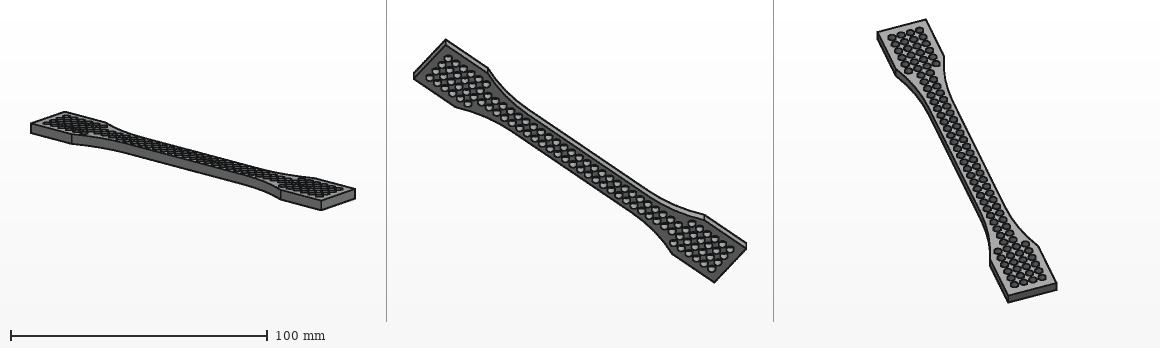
import cadquery as cq
import math

overall_length = 150.0
grip_width = 20.0
gauge_width = 10.0
gauge_length = 60.0
shoulder_radius = 60.0
thickness = 4.0

hole_diameter = 3.0
hole_pitch = 3.8
columns = 38
gauge_rows = 2
grip_rows = 4
grip_columns = 6

half_length = overall_length / 2
half_grip = grip_width / 2
half_gauge = gauge_width / 2
gauge_end = gauge_length / 2
shoulder_center_y = half_gauge + shoulder_radius


def shoulder_x(y):
    """X at which the +X, +Y shoulder arc reaches height y."""
    return gauge_end + math.sqrt(shoulder_radius**2 - (shoulder_center_y - y) ** 2)


grip_start = shoulder_x(half_grip)
shoulder_mid_y = (half_gauge + half_grip) / 2
shoulder_mid_x = shoulder_x(shoulder_mid_y)


def make_blank():
    """Solid dog-bone plate, centred in X and Y with its underside at Z = 0."""
    return (
        cq.Workplane("XY")
        .moveTo(-half_length, -half_grip)
        .lineTo(-grip_start, -half_grip)
        .threePointArc((-shoulder_mid_x, -shoulder_mid_y), (-gauge_end, -half_gauge))
        .lineTo(gauge_end, -half_gauge)
        .threePointArc((shoulder_mid_x, -shoulder_mid_y), (grip_start, -half_grip))
        .lineTo(half_length, -half_grip)
        .lineTo(half_length, half_grip)
        .lineTo(grip_start, half_grip)
        .threePointArc((shoulder_mid_x, shoulder_mid_y), (gauge_end, half_gauge))
        .lineTo(-gauge_end, half_gauge)
        .threePointArc((-shoulder_mid_x, shoulder_mid_y), (-grip_start, half_grip))
        .lineTo(-half_length, half_grip)
        .close()
        .extrude(thickness)
    )


def centred_positions(count):
    """Evenly pitched coordinates, symmetric about zero."""
    return [(i - (count - 1) / 2) * hole_pitch for i in range(count)]


def hole_centers():
    """Two full-length rows, widening to four rows in the grips."""
    centers = []
    for column, x in enumerate(centred_positions(columns)):
        in_grip = column < grip_columns or column >= columns - grip_columns
        rows = grip_rows if in_grip else gauge_rows
        centers += [(x, y) for y in centred_positions(rows)]
    return centers


def make_hole_pins():
    """Cylinders that cut the through holes."""
    return (
        cq.Workplane("XY")
        .pushPoints(hole_centers())
        .circle(hole_diameter / 2)
        .extrude(thickness)
    )


result = make_blank().cut(make_hole_pins())